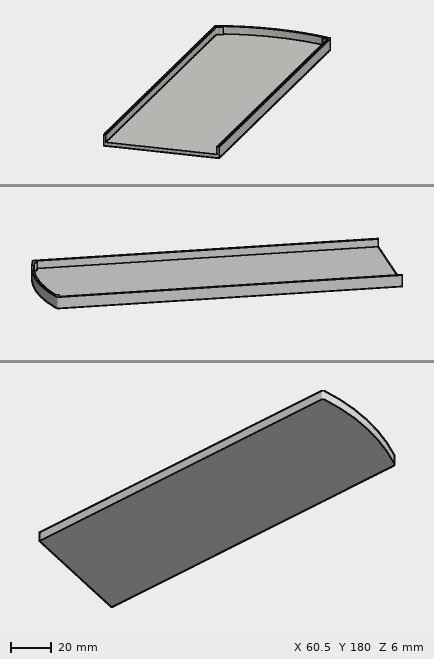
import cadquery as cq
import math

width = 60.5
length = 180.0
height = 6.0

floor_thickness = 2.0
wall = 1.0
end_radius = 100.0
outer_corner_radius = 1.5

corner_block_width = 4.1
corner_block_depth = 6.3
block_fillet = 0.7

half_width = width / 2
end_y = length / 2
front_y = -length / 2
end_center_y = end_y - end_radius


def arc_y(radius, x):
    """Y of an end arc of the given radius at distance x from the centre line."""
    return end_center_y + math.sqrt(radius**2 - x**2)


def arched_plate(half_span, radius, thickness):
    """Rectangle whose far end is closed by an arc about the end centre."""
    shoulder_y = arc_y(radius, half_span)
    return (
        cq.Workplane("XY")
        .moveTo(-half_span, front_y)
        .lineTo(half_span, front_y)
        .lineTo(half_span, shoulder_y)
        .threePointArc((0, end_center_y + radius), (-half_span, shoulder_y))
        .close()
        .extrude(thickness)
    )


def make_body():
    body = arched_plate(half_width, end_radius, height)
    return body.edges("|Z").edges(">Y").fillet(outer_corner_radius)


def make_cavity():
    """Space above the floor, open at the front and stepped around the corner blocks."""
    inner_half = half_width - wall
    inner_radius = end_radius - wall
    block_inner_x = half_width - corner_block_width
    block_y = end_y - corner_block_depth
    block_end_y = arc_y(inner_radius, block_inner_x)
    cavity = (
        cq.Workplane("XY")
        .workplane(offset=floor_thickness)
        .moveTo(-inner_half, front_y)
        .lineTo(inner_half, front_y)
        .lineTo(inner_half, block_y)
        .lineTo(block_inner_x, block_y)
        .lineTo(block_inner_x, block_end_y)
        .threePointArc((0, end_center_y + inner_radius), (-block_inner_x, block_end_y))
        .lineTo(-block_inner_x, block_y)
        .lineTo(-inner_half, block_y)
        .close()
        .extrude(height - floor_thickness)
    )
    block_edges = cq.selectors.BoxSelector(
        (-width, block_y - wall / 2, 0), (width, block_y + wall / 2, height)
    )
    return cavity.edges("|Z").edges(block_edges).fillet(block_fillet)


result = make_body().cut(make_cavity())